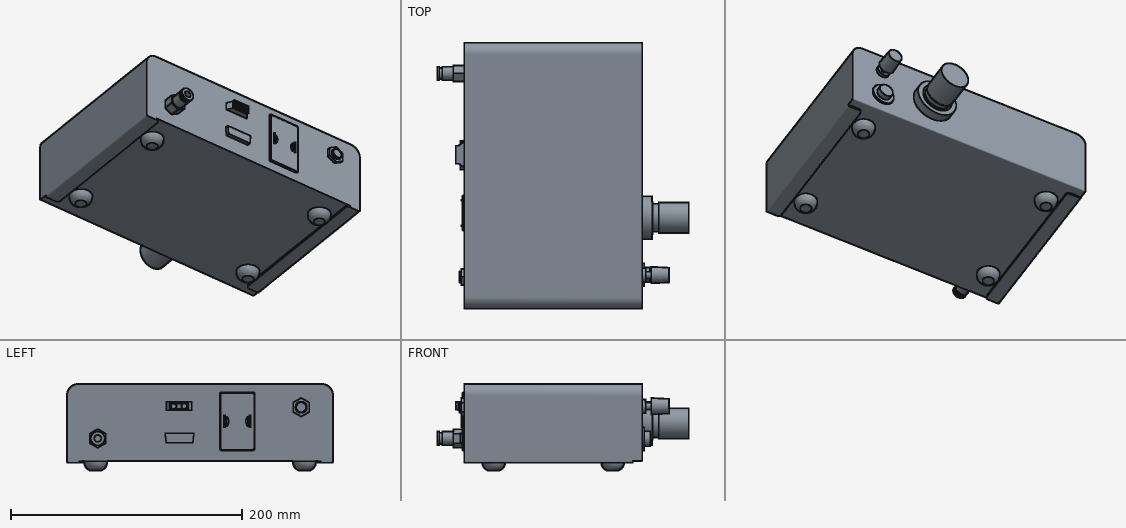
import cadquery as cq


case_length = 154.4
case_width = 230.5
case_height = 68.5
shoulder_radius = 10.0
sheet = 1.5
fold_radius = 1.4
front_bend_radius = 1.2
flange_inner_y = 101.5
flange_length = 146.0
flange_corner_radius = 3.0

foot_base_diameter = 20.3
foot_tip_diameter = 10.0
foot_drop = 6.7
foot_round_radius = 8.3
foot_x_positions = (25.5, 128.5)
foot_y = 90.3

fitting_y = 88.5
fitting_z = 21.2
hex_across_flats = 14.0
fitting_hex_length = 9.2
fitting_body_end = 19.0
fitting_groove_end = 21.5
fitting_length = 23.3
fitting_diameter = 12.0
fitting_groove_diameter = 10.0
fitting_bore_diameter = 6.0
fitting_bore_depth = 7.0

terminal_y = 18.2
terminal_top = 52.8
terminal_width = 15.7
terminal_height = 6.7
terminal_depth = 7.4
ear_height = 7.4
ear_span = 22.1
ear_depth = 5.0
recess_width = 13.4
recess_height = 5.0
recess_bottom_wall = 0.5
recess_depth = 0.7
contact_pitch = 4.5
contact_diameter = 4.8
contact_depth = 2.3
key_side = 4.1

shell_y = 17.7
shell_top = 25.5
shell_height = 8.3
shell_top_width = 24.9
shell_bottom_width = 23.0
shell_depth = 3.2

inlet_y = -32.3
inlet_z = 36.0
inlet_width = 30.5
inlet_height = 50.5
inlet_depth = 1.5
inlet_corner_radius = 1.8
inlet_edge_chamfer = 0.7
latch_offset = 11.0
latch_width = 1.2
latch_length = 10.5
latch_rise = 1.0
notch_edge_offset = 9.2
notch_reach = 1.8
notch_length = 8.3
notch_depth = 0.7

button_y = -87.5
button_z = 48.2
button_nut_depth = 2.5
button_depth = 4.4
button_diameter = 10.0
button_face_diameter = 8.5

regulator_y = -36.5
regulator_z = 34.0
regulator_sections = (
    (37.5, 8.3),
    (28.0, 9.0),
    (24.5, 14.0),
    (26.5, 40.0),
)

control_y = -86.0
control_z = 49.0
bushing_diameter = 12.0
bushing_length = 2.8
shaft_diameter = 6.0
control_start = 7.4
control_end = 23.0
control_base_diameter = 14.5
control_tip_diameter = 13.0

jack_y = -85.7
jack_z = 20.7
jack_sections = ((20.3, 1.5), (13.0, 6.7))


def panel_plane(x, y, z):
    """Workplane facing +X whose local axes are Y and Z."""
    return cq.Workplane("YZ", origin=(x, y, z))


def stepped_rod(start_x, y, z, sections, direction):
    """Coaxial cylinders that run along X away from a panel."""
    rod = cq.Workplane()
    near_end = 0.0
    for diameter, far_end in sections:
        length = far_end - near_end
        plane = panel_plane(start_x + direction * near_end, y, z)
        rod = rod.union(plane.circle(diameter / 2).extrude(direction * length))
        near_end = far_end
    return rod


def rear_hexagon(y, z, depth):
    """Hexagon on the rear panel with one corner pointing up."""
    hexagon = panel_plane(0, y, z).polygon(6, hex_across_flats, circumscribed=True)
    return hexagon.extrude(-depth)


def make_case():
    body = (
        cq.Workplane("XY")
        .box(case_length, case_width, case_height - sheet, centered=(False, True, False))
        .translate((0, 0, sheet))
        .edges("|X and >Z")
        .fillet(shoulder_radius)
        .edges("|Y and >X and <Z")
        .fillet(front_bend_radius)
    )
    flange_width = case_width / 2 - flange_inner_y
    flange = (
        cq.Workplane("XY", origin=(0, flange_inner_y, 0))
        .rect(flange_length, flange_width, centered=False)
        .extrude(sheet)
        .edges("|Z and <Y")
        .fillet(flange_corner_radius)
        .edges("|X and >Y and <Z")
        .fillet(fold_radius)
    )
    return body.union(flange).union(flange.mirror("XZ"))


def make_foot():
    base_radius = foot_base_diameter / 2
    return (
        cq.Workplane("XZ")
        .moveTo(0, sheet)
        .lineTo(base_radius, sheet)
        .radiusArc((foot_tip_diameter / 2, -foot_drop), foot_round_radius)
        .lineTo(0, -foot_drop)
        .close()
        .revolve(360, (0, 0), (0, 1))
    )


def make_fitting():
    sections = (
        (fitting_diameter, fitting_body_end),
        (fitting_groove_diameter, fitting_groove_end),
        (fitting_diameter, fitting_length),
    )
    bore = (
        panel_plane(-fitting_length, fitting_y, fitting_z)
        .circle(fitting_bore_diameter / 2)
        .extrude(fitting_bore_depth)
    )
    rod = stepped_rod(0, fitting_y, fitting_z, sections, -1)
    return rear_hexagon(fitting_y, fitting_z, fitting_hex_length).union(rod).cut(bore)


def make_terminal_block():
    block_bottom = terminal_top - terminal_height
    block = (
        panel_plane(0, terminal_y, block_bottom + terminal_height / 2)
        .rect(terminal_width, terminal_height)
        .extrude(-terminal_depth)
    )
    ears = (
        cq.Workplane("XY", origin=(0, terminal_y, terminal_top - ear_height))
        .polyline(
            [
                (0, -ear_span / 2),
                (-ear_depth, -terminal_width / 2),
                (-ear_depth, terminal_width / 2),
                (0, ear_span / 2),
            ]
        )
        .close()
        .extrude(ear_height)
    )
    recess_z = block_bottom + recess_bottom_wall + recess_height / 2
    recess_floor = -terminal_depth + recess_depth
    recess = (
        panel_plane(-terminal_depth, terminal_y, recess_z)
        .rect(recess_width, recess_height)
        .extrude(recess_depth)
    )
    contacts = (
        panel_plane(recess_floor, terminal_y, recess_z)
        .pushPoints([(-contact_pitch, 0), (contact_pitch, 0)])
        .circle(contact_diameter / 2)
        .extrude(contact_depth)
    )
    key = (
        panel_plane(recess_floor, terminal_y, recess_z)
        .rect(key_side, key_side)
        .extrude(contact_depth)
    )
    return block.union(ears).cut(recess).cut(contacts).cut(key)


def make_connector_shell():
    return (
        panel_plane(0, shell_y, shell_top)
        .polyline(
            [
                (-shell_top_width / 2, 0),
                (shell_top_width / 2, 0),
                (shell_bottom_width / 2, -shell_height),
                (-shell_bottom_width / 2, -shell_height),
            ]
        )
        .close()
        .extrude(-shell_depth)
    )


def make_inlet():
    plate = (
        panel_plane(0, inlet_y, inlet_z)
        .rect(inlet_width, inlet_height)
        .extrude(-inlet_depth)
        .edges("|X")
        .fillet(inlet_corner_radius)
        .faces("<X")
        .chamfer(inlet_edge_chamfer)
    )
    for side in (-1, 1):
        latch = (
            panel_plane(-inlet_depth, inlet_y + side * latch_offset, inlet_z)
            .rect(latch_width, latch_length)
            .extrude(-latch_rise)
        )
        edge = side * notch_edge_offset
        notch = (
            panel_plane(-inlet_depth, inlet_y, inlet_z)
            .moveTo(edge, -notch_length / 2)
            .threePointArc((edge - side * notch_reach, 0), (edge, notch_length / 2))
            .close()
            .extrude(notch_depth)
        )
        plate = plate.union(latch).cut(notch)
    return plate


def make_button():
    rim = (button_diameter - button_face_diameter) / 2
    button = (
        panel_plane(0, button_y, button_z)
        .circle(button_diameter / 2)
        .extrude(-button_depth)
        .faces("<X")
        .chamfer(rim)
    )
    return rear_hexagon(button_y, button_z, button_nut_depth).union(button)


def make_control_knob():
    sections = ((bushing_diameter, bushing_length), (shaft_diameter, control_start))
    support = stepped_rod(case_length, control_y, control_z, sections, 1)
    cap = (
        panel_plane(case_length + control_start, control_y, control_z)
        .circle(control_base_diameter / 2)
        .workplane(offset=control_end - control_start)
        .circle(control_tip_diameter / 2)
        .loft()
    )
    return support.union(cap)


result = make_case()
for foot_x in foot_x_positions:
    for side in (-1, 1):
        result = result.union(make_foot().translate((foot_x, side * foot_y, 0)))

rear_parts = (
    make_fitting(),
    make_terminal_block(),
    make_connector_shell(),
    make_inlet(),
    make_button(),
)
front_parts = (
    stepped_rod(case_length, regulator_y, regulator_z, regulator_sections, 1),
    make_control_knob(),
    stepped_rod(case_length, jack_y, jack_z, jack_sections, 1),
)
for attachment in rear_parts + front_parts:
    result = result.union(attachment)